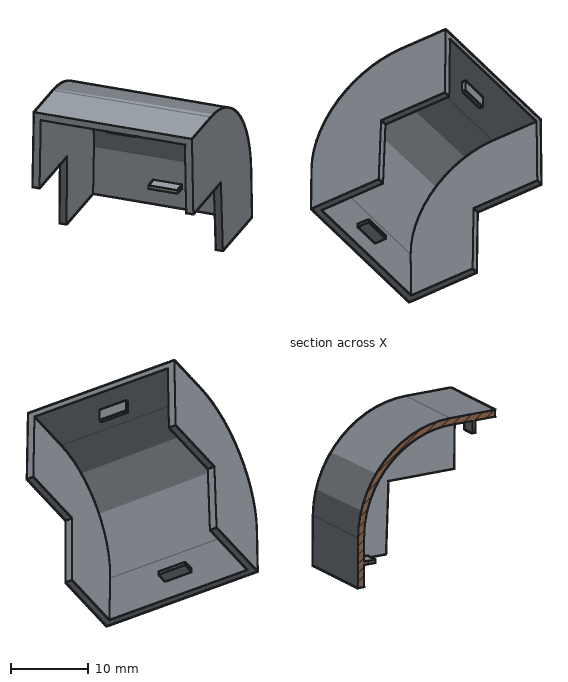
import cadquery as cq
import math

size = 20.9
top_width = 22.0
side_draft = 1.0
edge_draft = 1.5
side_wall = 1.0
cover_wall = 1.0
bend_radius = 14.0
opening = 10.0

rib_width = 4.0
rib_offset = 3.0
rib_height = 1.7
rib_tip = 0.5

side_slope = math.tan(math.radians(side_draft))
edge_slope = math.tan(math.radians(edge_draft))
bottom_width = top_width + 2 * size * side_slope
inner_face = size - cover_wall
rib_root = rib_tip + rib_height * edge_slope


def elbow(extent, radius):
    """Quarter-round elbow profile, extruded symmetrically along X to the full width."""
    straight_end = size - bend_radius
    arc_mid = straight_end + radius * math.sqrt(0.5)
    return (
        cq.Workplane("YZ")
        .lineTo(0, extent)
        .lineTo(straight_end, extent)
        .threePointArc((arc_mid, arc_mid), (extent, straight_end))
        .lineTo(extent, 0)
        .close()
        .extrude(bottom_width / 2, both=True)
    )


def drafted_block(inset):
    """Block that narrows upward, each side face moved inward by the inset."""
    half_bottom = bottom_width / 2 - inset
    half_top = top_width / 2 - inset
    return (
        cq.Workplane("XZ")
        .polyline([(-half_bottom, 0), (half_bottom, 0), (half_top, size), (-half_top, size)])
        .close()
        .extrude(-size)
    )


def corner_opening():
    """Open corner cut through both side walls, with a drafted upright edge."""
    edge_at_bottom = opening + opening * edge_slope
    return (
        cq.Workplane("YZ")
        .polyline([(0, 0), (edge_at_bottom, 0), (opening, opening), (0, opening)])
        .close()
        .extrude(bottom_width / 2, both=True)
    )


def back_rib():
    """Tapered rib on the back plate, pointing toward the front and rooted inside the plate."""
    free_edge = inner_face - rib_height
    buried_edge = size - cover_wall / 2
    return (
        cq.Workplane("YZ")
        .polyline([
            (buried_edge, rib_offset),
            (free_edge, rib_offset),
            (free_edge, rib_offset + rib_tip),
            (inner_face, rib_offset + rib_root),
            (buried_edge, rib_offset + rib_root),
        ])
        .close()
        .extrude(rib_width / 2, both=True)
    )


def top_rib():
    """The same rib hanging from the top plate: the back rib with Y and Z exchanged."""
    quarter_turned = back_rib().rotate((0, 0, 0), (1, 0, 0), 90)
    return quarter_turned.mirror("XZ")


shell = elbow(size, bend_radius).intersect(drafted_block(0))
cavity = elbow(inner_face, bend_radius - cover_wall).intersect(drafted_block(side_wall))

result = shell.cut(cavity).cut(corner_opening()).union(back_rib()).union(top_rib())